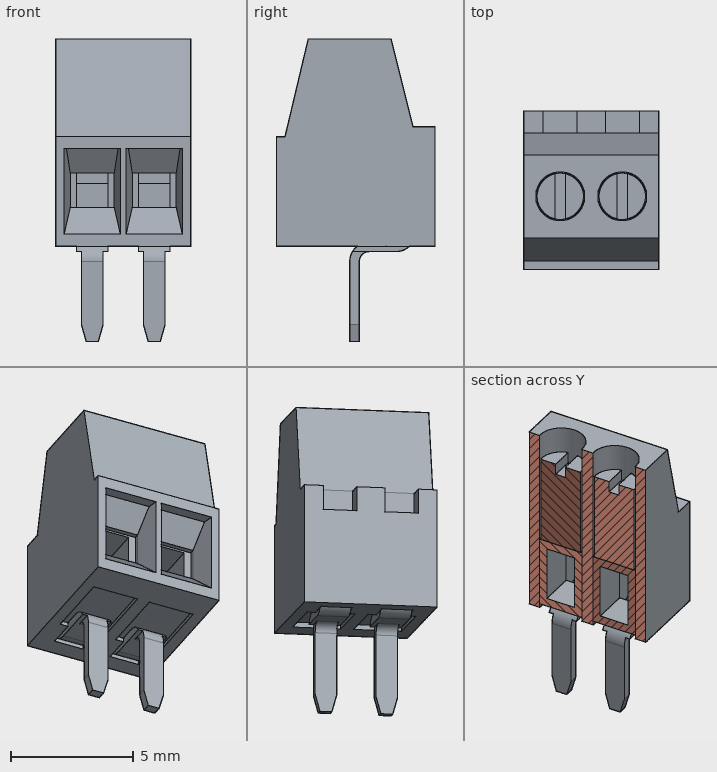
import cadquery as cq
import math


pole_count = 2
pitch = 2.54
pole_centres = [(i - (pole_count - 1) / 2) * pitch for i in range(pole_count)]

end_margin = 1.5
housing_width = (pole_count - 1) * pitch + 2 * end_margin
housing_depth = 6.5
housing_height = 8.5
front_wall_height = 4.5
front_ledge_depth = 0.35
rear_wall_height = 4.9
rear_ledge_depth = 0.9
screw_y = 3.0
top_face_depth = 3.4

notch_width = 1.4
notch_depth = 1.0
notch_spacing = 2.57

entry_width = 2.3
entry_bottom = 0.5
entry_top = 4.0
neck_width = 1.8
neck_bottom = 1.6
neck_top = 3.0
funnel_depth = 1.2
flat_roof_depth = 0.45
neck_length = 0.2
neck_end = funnel_depth + neck_length

strip_width = 1.3
strip_thickness = 0.4
bend_inner_radius = 0.4
bend_outer_radius = bend_inner_radius + strip_thickness

base_bottom = -0.22
base_top = base_bottom + strip_thickness
leg_front = 3.0
leg_rear = leg_front + strip_thickness
upright_rear = 5.7
upright_front = upright_rear - strip_thickness
upright_top = 2.58
leg_width = 0.9
leg_bottom = -3.9
leg_tip_width = 0.5
leg_tip_height = 0.7

cage_width = 2.0
cage_front_gap = 0.12
cage_front = neck_end + cage_front_gap
cage_rear = 2 * screw_y - cage_front
cage_bar_thickness = 0.4
cage_bottom = base_top
cage_top = neck_top + cage_bar_thickness

screw_hole_diameter = 2.0
screw_diameter = 1.9
screw_recess = 1.15
screw_top = housing_height - screw_recess
slot_width = 0.45
slot_depth = 0.5


def box(x_centre, x_size, y_min, y_max, z_min, z_max):
    """Block centred on x_centre, given by its Y and Z limits."""
    block = cq.Workplane("XY").box(x_size, y_max - y_min, z_max - z_min, centered=(True, False, False))
    return block.translate((x_centre, y_min, z_min))


def side_profile():
    """Empty sketch plane with local axes Y and Z, to be extruded along X."""
    return cq.Workplane("YZ")


def wire_entry(x):
    """Funnel and neck as a solid to be cut from the housing."""
    profile = (
        side_profile()
        .moveTo(0, entry_bottom)
        .lineTo(funnel_depth, neck_bottom)
        .lineTo(neck_end, neck_bottom)
        .lineTo(neck_end, neck_top)
        .lineTo(funnel_depth, neck_top)
        .lineTo(flat_roof_depth, entry_top)
        .lineTo(0, entry_top)
        .close()
        .extrude(entry_width / 2, both=True)
    )
    plan = (
        cq.Workplane("XY")
        .moveTo(-entry_width / 2, 0)
        .lineTo(entry_width / 2, 0)
        .lineTo(neck_width / 2, funnel_depth)
        .lineTo(neck_width / 2, neck_end)
        .lineTo(-neck_width / 2, neck_end)
        .lineTo(-neck_width / 2, funnel_depth)
        .close()
        .extrude(entry_top)
    )
    return profile.intersect(plan).translate((x, 0, 0))


def clamp_cavity(x):
    """Pocket behind the neck, open at the seating face, for the cage and, in a narrower slot, the contact."""
    cage_pocket = box(x, cage_width, neck_end, cage_rear, 0, cage_top)
    contact_slot = box(x, strip_width, cage_rear, upright_rear, 0, neck_top)
    return cage_pocket.union(contact_slot)


def screw_shaft(x, diameter, top):
    """Cylinder on the screw axis, from the cage top up to the given height."""
    base = cq.Workplane("XY").workplane(offset=cage_top)
    return base.center(x, screw_y).circle(diameter / 2).extrude(top - cage_top)


def make_housing():
    body = (
        side_profile()
        .moveTo(0, 0)
        .lineTo(housing_depth, 0)
        .lineTo(housing_depth, rear_wall_height)
        .lineTo(housing_depth - rear_ledge_depth, rear_wall_height)
        .lineTo(screw_y + top_face_depth / 2, housing_height)
        .lineTo(screw_y - top_face_depth / 2, housing_height)
        .lineTo(front_ledge_depth, front_wall_height)
        .lineTo(0, front_wall_height)
        .close()
        .extrude(housing_width / 2, both=True)
    )
    for x in pole_centres:
        body = body.cut(wire_entry(x))
        body = body.cut(clamp_cavity(x))
        body = body.cut(screw_shaft(x, screw_hole_diameter, housing_height))
        notch_x = x * notch_spacing / pitch
        notch_front = housing_depth - rear_ledge_depth
        notch_floor = rear_wall_height - notch_depth
        body = body.cut(box(notch_x, notch_width, notch_front, housing_depth, notch_floor, rear_wall_height))
    return body


def make_contact(x):
    """Bent strip: solder leg, base under the housing and upright inside it."""
    front_bend = (leg_front + bend_outer_radius, base_top - bend_outer_radius)
    rear_bend = (upright_rear - bend_outer_radius, base_bottom + bend_outer_radius)
    outer_mid = bend_outer_radius * math.sqrt(0.5)
    inner_mid = bend_inner_radius * math.sqrt(0.5)
    strip = (
        side_profile()
        .moveTo(leg_front, leg_bottom)
        .lineTo(leg_front, front_bend[1])
        .threePointArc((front_bend[0] - outer_mid, front_bend[1] + outer_mid), (front_bend[0], base_top))
        .lineTo(rear_bend[0], base_top)
        .threePointArc((rear_bend[0] + inner_mid, rear_bend[1] - inner_mid), (upright_front, rear_bend[1]))
        .lineTo(upright_front, upright_top)
        .lineTo(upright_rear, upright_top)
        .lineTo(upright_rear, rear_bend[1])
        .threePointArc((rear_bend[0] + outer_mid, rear_bend[1] - outer_mid), (rear_bend[0], base_bottom))
        .lineTo(front_bend[0], base_bottom)
        .threePointArc((front_bend[0] - inner_mid, front_bend[1] + inner_mid), (leg_rear, front_bend[1]))
        .lineTo(leg_rear, leg_bottom)
        .close()
        .extrude(strip_width / 2, both=True)
    )
    outline = (
        cq.Workplane("XZ")
        .moveTo(-leg_tip_width / 2, leg_bottom)
        .lineTo(leg_tip_width / 2, leg_bottom)
        .lineTo(leg_width / 2, leg_bottom + leg_tip_height)
        .lineTo(leg_width / 2, base_bottom)
        .lineTo(strip_width / 2, base_bottom)
        .lineTo(strip_width / 2, upright_top)
        .lineTo(-strip_width / 2, upright_top)
        .lineTo(-strip_width / 2, base_bottom)
        .lineTo(-leg_width / 2, base_bottom)
        .lineTo(-leg_width / 2, leg_bottom + leg_tip_height)
        .close()
        .extrude(-housing_depth)
    )
    return strip.intersect(outline).translate((x, 0, 0))


def make_cage(x):
    """Block with a rectangular wire passage running through it along Y."""
    block = box(x, cage_width, cage_front, cage_rear, cage_bottom, cage_top)
    passage_bottom = cage_bottom + cage_bar_thickness
    return block.cut(box(x, strip_width, cage_front, cage_rear, passage_bottom, neck_top))


def make_screw(x):
    radius = screw_diameter / 2
    driver_slot = box(x, slot_width, screw_y - radius, screw_y + radius, screw_top - slot_depth, screw_top)
    return screw_shaft(x, screw_diameter, screw_top).cut(driver_slot)


housing = make_housing()
contacts = [make_contact(x) for x in pole_centres]
cages = [make_cage(x) for x in pole_centres]
screws = [make_screw(x) for x in pole_centres]

result = cq.Compound.makeCompound([
    housing.val(),
    *[contact.val() for contact in contacts],
    *[cage.val() for cage in cages],
    *[screw.val() for screw in screws],
])